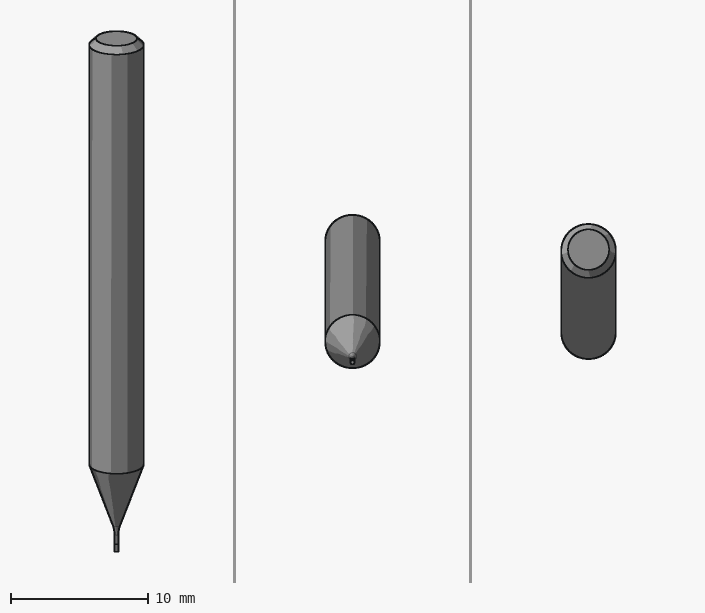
import cadquery as cq

total_length = 40.0
shank_radius = 2.0

end_chamfer = 0.5

cutter_length = 0.6
neck_top = 1.3
flare_top = 2.05
cone_top = 6.8

tip_radius = 0.15
flare_top_radius = 0.3


def make_shank():
    """Chamfered cylinder and cone, flaring smoothly out of a slim neck."""
    return (
        cq.Workplane("XZ")
        .moveTo(0, cutter_length)
        .lineTo(tip_radius, cutter_length)
        .lineTo(tip_radius, neck_top)
        .tangentArcPoint((flare_top_radius, flare_top), relative=False)
        .lineTo(shank_radius, cone_top)
        .lineTo(shank_radius, total_length - end_chamfer)
        .lineTo(shank_radius - end_chamfer, total_length)
        .lineTo(0, total_length)
        .close()
        .revolve(360, (0, 0, 0), (0, 1, 0))
    )


def make_cutter():
    """Plain cylindrical cutting tip, butted against the neck."""
    return cq.Workplane("XY").circle(tip_radius).extrude(cutter_length)


shank = make_shank()
cutter = make_cutter()

result = cq.Compound.makeCompound([shank.val(), cutter.val()])